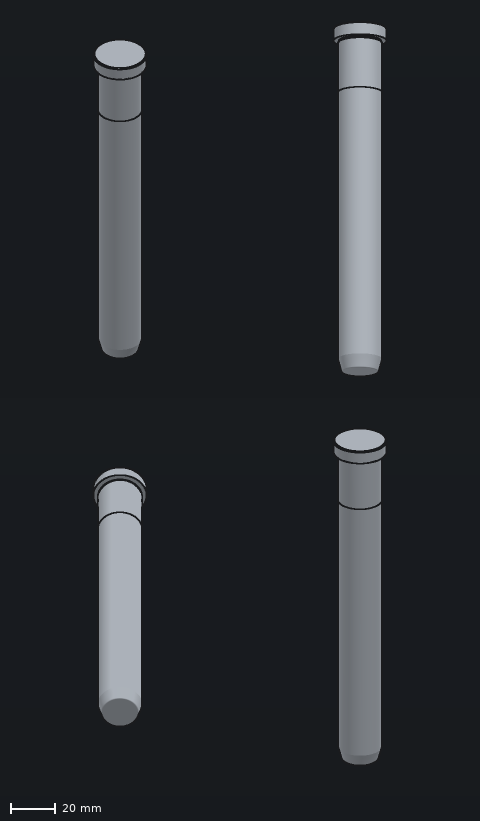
import cadquery as cq
import math

total_length = 160.0
shank_radius = 10.0

head_radius = 12.0
head_height = 6.0
head_chamfer = 0.5

groove_depth = 0.5
groove_width = 1.0
groove_runout = 0.5

upper_length = 30.0

nose_length = 6.0
nose_half_angle = 15.0
nose_edge_radius = 0.5

joint_z = total_length - upper_length
head_underside_z = total_length - head_height
groove_bottom_z = head_underside_z - groove_width

nose_end_radius = shank_radius - nose_length * math.tan(math.radians(nose_half_angle))


def make_headed_section():
    """Upper body: chamfered head, relief groove and the upper part of the shank."""
    neck_radius = shank_radius - groove_depth
    profile = (
        cq.Workplane("XZ")
        .moveTo(0, joint_z)
        .lineTo(shank_radius, joint_z)
        .lineTo(shank_radius, groove_bottom_z)
        .lineTo(neck_radius, groove_bottom_z + groove_runout)
        .lineTo(neck_radius, head_underside_z)
        .lineTo(head_radius, head_underside_z)
        .lineTo(head_radius, total_length - head_chamfer)
        .lineTo(head_radius - head_chamfer, total_length)
        .lineTo(0, total_length)
        .close()
    )
    return profile.revolve(360, (0, 0, 0), (0, 1, 0))


def make_guide_section():
    """Lower body: plain shank ending in a tapered nose with a rounded end edge."""
    profile = (
        cq.Workplane("XZ")
        .lineTo(nose_end_radius, 0)
        .lineTo(shank_radius, nose_length)
        .lineTo(shank_radius, joint_z)
        .lineTo(0, joint_z)
        .close()
    )
    section = profile.revolve(360, (0, 0, 0), (0, 1, 0))
    return section.faces("<Z").edges().fillet(nose_edge_radius)


headed_section = make_headed_section()
guide_section = make_guide_section()

result = cq.Compound.makeCompound([headed_section.val(), guide_section.val()])